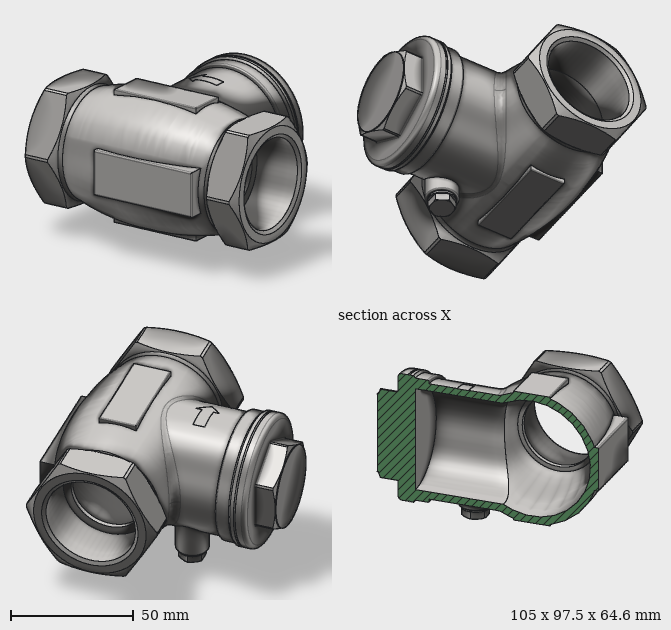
import cadquery as cq
import math


length = 105.0
body_d = 58.8
throat_d = 48.1
barrel_half = 34.9
throat_blend = 4.4

end_flats = 50.0
end_corner_d = 57.0
end_face_d = 49.0
end_chamfer_angle = 30.0
end_hex_length = 15.6
thread_d = 39.0
thread_depth = 21.0
mouth_d = 42.0
mouth_depth = 1.0

chamber_d = 51.5
seat_x = 29.4
seat_d = 36.0
port_d = 32.0

neck_d = 52.0
neck_bore_d = 45.0
neck_blend = 4.0
collar_d = 55.0
collar_y = 45.0
collar_fillet = 0.7
cap_d = 57.0
cap_y = 51.0
cap_top_y = 58.9
cap_top_fillet = 2.0
cap_bottom_chamfer = 0.9
seam_y = 53.5
seam_width = 0.7
seam_depth = 0.1
cap_hex_flats = 35.0
cap_hex_corner_d = 39.8
cap_hex_chamfer_angle = 22.5
cap_hex_top_y = 68.0
cap_hex_rim = 0.4
cap_hex_root_fillet = 0.5

label_length = 40.3
label_width = 16.2
label_z = 29.0
label_edge = 0.4
plate_length = 48.3
plate_width = 19.5
plate_x = 8.3
plate_y = 29.5
plate_edge = 0.6

arrow_tip_x = -9.1
arrow_head_x = -4.1
arrow_tail_x = 6.2
arrow_y = 30.1
arrow_head_half = 5.0
arrow_shaft_half = 2.5
arrow_depth = 0.1

plug_x = 13.1
plug_y = 29.9
plug_root_z = -12.6
boss_d = 14.0
boss_z = -31.1
boss_fillet = 0.6
washer_d = 12.0
washer_z = -32.0
plug_flats = 10.0
plug_face_d = 10.3
plug_chamfer_angle = 30.0
plug_z = -35.6


def hex_bar(flats, corner_d, height, top_face_d, chamfer_angle):
    """Hexagon standing on XY with corners on +X and -X, turned down to `corner_d` and coned at its top."""
    cone_height = (corner_d - top_face_d) / 2 * math.tan(math.radians(chamfer_angle))
    turned_outline = [
        (0, 0),
        (corner_d / 2, 0),
        (corner_d / 2, height - cone_height),
        (top_face_d / 2, height),
        (0, height),
    ]
    turned = cq.Workplane("XZ").polyline(turned_outline).close().revolve(360, (0, 0), (0, 1))
    prism = cq.Workplane("XY").polygon(6, flats / math.cos(math.pi / 6)).extrude(height)
    return prism.intersect(turned)


def barrel():
    """Bulged barrel with a hollow throat that runs out into each end hexagon."""
    neck_end = length / 2 - end_hex_length
    half = throat_d / 2
    outline = (
        cq.Workplane("XY")
        .moveTo(-neck_end, 0)
        .lineTo(-neck_end, end_face_d / 2)
        .radiusArc((-barrel_half, half), -throat_blend)
        .threePointArc((0, body_d / 2), (barrel_half, half))
        .radiusArc((neck_end, end_face_d / 2), -throat_blend)
        .lineTo(neck_end, 0)
        .close()
    )
    return outline.revolve(360, (0, 0), (1, 0))


def y_cylinder(diameter, start, end):
    """Cylinder along +Y between two heights above the flow axis."""
    return cq.Workplane("XZ", origin=(0, start, 0)).circle(diameter / 2).extrude(start - end)


def body():
    neck = y_cylinder(neck_d, 0, cap_y)
    joined = barrel().union(neck)
    reach = body_d / 2
    margin = 1.0
    seam_zone = cq.selectors.BoxSelector((-reach, margin, -reach), (reach, cap_y - margin, reach))
    return joined.edges(seam_zone).edges("not %CIRCLE").edges("not %LINE").fillet(neck_blend)


def end_hexes():
    half = hex_bar(end_flats, end_corner_d, end_hex_length / 2, end_face_d, end_chamfer_angle)
    bar = half.union(half.mirror("XY"))
    bar = bar.rotate((0, 0, 0), (0, 0, 1), 90).rotate((0, 0, 0), (0, 1, 0), 90)
    end_centre = (length - end_hex_length) / 2
    return bar.translate((-end_centre, 0, 0)).union(bar.translate((end_centre, 0, 0)))


def cap():
    collar = y_cylinder(collar_d, collar_y, cap_y).faces("<Y").edges().fillet(collar_fillet)
    disc = y_cylinder(cap_d, cap_y, cap_top_y)
    disc = disc.faces(">Y").edges().fillet(cap_top_fillet)
    disc = disc.faces("<Y").edges().chamfer(cap_bottom_chamfer)
    seam = y_cylinder(cap_d, seam_y, seam_y + seam_width)
    seam = seam.cut(y_cylinder(cap_d - 2 * seam_depth, seam_y, seam_y + seam_width))
    hex_height = cap_hex_top_y - cap_hex_rim - cap_top_y
    hexagon = hex_bar(cap_hex_flats, cap_hex_corner_d, hex_height, cap_hex_flats, cap_hex_chamfer_angle)
    hexagon = hexagon.rotate((0, 0, 0), (1, 0, 0), -90).rotate((0, 0, 0), (0, 1, 0), 90)
    hexagon = hexagon.translate((0, cap_top_y, 0))
    rim = y_cylinder(cap_hex_flats, cap_hex_top_y - cap_hex_rim, cap_hex_top_y)
    top = disc.cut(seam).union(hexagon)
    near = 0.1
    ring_centre = cq.Vector(0, cap_top_y, 0)
    reach = cq.Vector(near, near, near)
    ring = top.faces(cq.selectors.BoxSelector(ring_centre - reach, ring_centre + reach))
    root_edges = ring.val().innerWires()[0].Edges()
    top = top.newObject(root_edges).fillet(cap_hex_root_fillet)
    return collar.union(top).union(rim)


def pad(size_x, size_y, height, edge):
    """Block from the flow axis up to `height` with rounded edges round its face."""
    block = cq.Workplane("XY").rect(size_x, size_y).extrude(height)
    return block.faces(">Z").edges().fillet(edge)


def add_pads(valve):
    label = pad(label_length, label_width, label_z, label_edge)
    trim = cq.Workplane("XY", origin=(0, 0, label_z)).rect(label_length, label_width).extrude(body_d)
    for angle in (0, 180):
        valve = valve.cut(trim.rotate((0, 0, 0), (1, 0, 0), angle))
        valve = valve.union(label.rotate((0, 0, 0), (1, 0, 0), angle))
    plate = pad(plate_length, plate_width, plate_y, plate_edge).rotate((0, 0, 0), (1, 0, 0), 90)
    return valve.union(plate.translate((plate_x, 0, 0)))


def drain_plug():
    def disc(diameter, end):
        top = cq.Workplane("XY", origin=(plug_x, plug_y, plug_root_z))
        return top.circle(diameter / 2).extrude(end - plug_root_z)

    boss = disc(boss_d, boss_z).faces("<Z").edges().fillet(boss_fillet)
    corner_d = plug_flats / math.cos(math.pi / 6)
    head = hex_bar(plug_flats, corner_d, washer_z - plug_z, plug_face_d, plug_chamfer_angle)
    head = head.rotate((0, 0, 0), (1, 0, 0), 180)
    return boss.union(disc(washer_d, washer_z)).union(head.translate((plug_x, plug_y, washer_z)))


def arrow():
    """Arrow-shaped sliver of the neck's outer skin."""
    half = [
        (arrow_tip_x, 0),
        (arrow_head_x, arrow_head_half),
        (arrow_head_x, arrow_shaft_half),
        (arrow_tail_x, arrow_shaft_half),
    ]
    outline = half + [(x, -y) for x, y in reversed(half[1:])]
    prism = cq.Workplane("XY", origin=(0, arrow_y, 0)).polyline(outline).close().extrude(neck_d)
    return prism.cut(y_cylinder(neck_d - 2 * arrow_depth, 0, cap_y))


def flow_passage():
    thread_end = length / 2 - thread_depth
    mouth = [
        (-length / 2, 0),
        (-length / 2, mouth_d / 2),
        (mouth_depth - length / 2, thread_d / 2),
        (-thread_end, thread_d / 2),
    ]
    outline = (
        cq.Workplane("XY")
        .polyline(mouth)
        .threePointArc((0, chamber_d / 2), (seat_x, seat_d / 2))
        .lineTo(seat_x, port_d / 2)
        .lineTo(thread_end, port_d / 2)
    )
    for x, y in reversed(mouth):
        outline = outline.lineTo(-x, y)
    passage = outline.close().revolve(360, (0, 0), (1, 0))
    return passage.union(y_cylinder(neck_bore_d, 0, cap_y))


valve = add_pads(body().union(end_hexes())).union(cap()).union(drain_plug())
result = valve.cut(arrow()).cut(flow_passage()).solids()